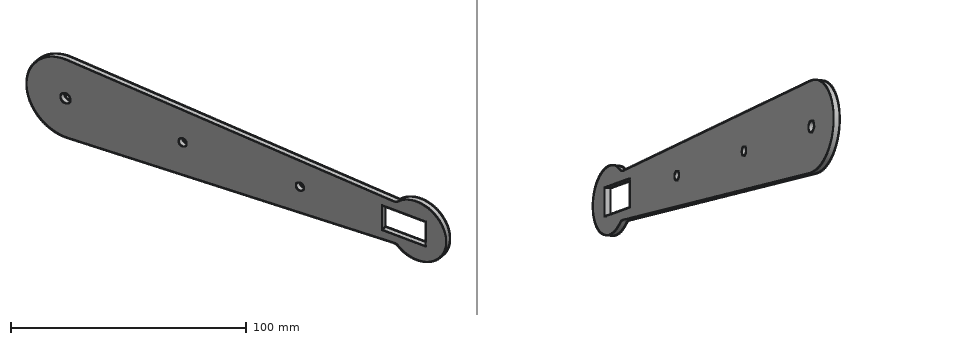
import cadquery as cq
import math

THICKNESS = 3.0
HUB_RADIUS = 20.0
HEAD_RADIUS = 15.0
HEAD_X = 180.0
ARM_TIP_HALF_WIDTH = 10.0
NECK_FILLET = 3.0

PIVOT_HOLE_DIAMETER = 5.0
ARM_HOLE_DIAMETER = 4.0
HOLE_PITCH = 60.0
ARM_HOLE_COUNT = 2

WINDOW_LENGTH = 22.5
WINDOW_HEIGHT = 12.5
WINDOW_CENTER_X = 173.25


def plate_outline():
    """Closed outline of the arm in the XZ plane, symmetric about the X axis."""
    normal_x = (HUB_RADIUS - ARM_TIP_HALF_WIDTH) / HEAD_X
    normal_z = math.sqrt(1 - normal_x**2)
    hub_tangent = (HUB_RADIUS * normal_x, HUB_RADIUS * normal_z)

    center_distance = HEAD_RADIUS + NECK_FILLET
    head_offset = ARM_TIP_HALF_WIDTH + NECK_FILLET
    along_edge = math.sqrt(center_distance**2 - head_offset**2)
    fillet_x = HEAD_X + head_offset * normal_x - along_edge * normal_z
    fillet_z = head_offset * normal_z + along_edge * normal_x

    neck_start = (fillet_x - NECK_FILLET * normal_x, fillet_z - NECK_FILLET * normal_z)
    head_share = HEAD_RADIUS / center_distance
    neck_end = (HEAD_X + (fillet_x - HEAD_X) * head_share, fillet_z * head_share)

    bisector_x = neck_start[0] + neck_end[0] - 2 * fillet_x
    bisector_z = neck_start[1] + neck_end[1] - 2 * fillet_z
    bisector_scale = NECK_FILLET / math.hypot(bisector_x, bisector_z)
    neck_middle = (fillet_x + bisector_x * bisector_scale, fillet_z + bisector_z * bisector_scale)

    def mirrored(point):
        return (point[0], -point[1])

    return (
        cq.Workplane("XZ")
        .moveTo(*hub_tangent)
        .lineTo(*neck_start)
        .threePointArc(neck_middle, neck_end)
        .threePointArc((HEAD_X + HEAD_RADIUS, 0), mirrored(neck_end))
        .threePointArc(mirrored(neck_middle), mirrored(neck_start))
        .lineTo(*mirrored(hub_tangent))
        .threePointArc((-HUB_RADIUS, 0), hub_tangent)
        .close()
    )


def hole_cutter(x, diameter):
    """Round through-hole on the centreline."""
    return cq.Workplane("XZ").center(x, 0).circle(diameter / 2).extrude(THICKNESS)


def window_cutter():
    """Rectangular through-window in the head."""
    return (
        cq.Workplane("XZ")
        .center(WINDOW_CENTER_X, 0)
        .rect(WINDOW_LENGTH, WINDOW_HEIGHT)
        .extrude(THICKNESS)
    )


result = plate_outline().extrude(THICKNESS)
result = result.cut(hole_cutter(0, PIVOT_HOLE_DIAMETER))
for index in range(1, ARM_HOLE_COUNT + 1):
    result = result.cut(hole_cutter(index * HOLE_PITCH, ARM_HOLE_DIAMETER))
result = result.cut(window_cutter())